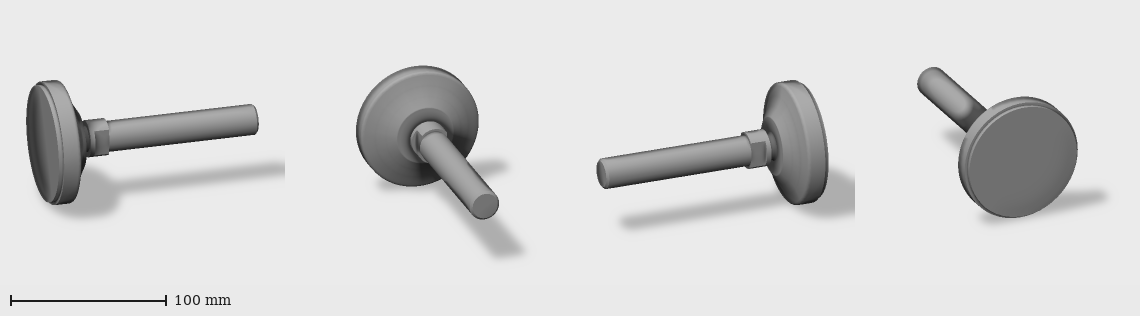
import cadquery as cq


pad_diameter = 76.0
pad_height = 3.0
foot_diameter = 80.0
rim_corner_height = 14.3
rim_rounding = 2.3
flank_mid_radius = 26.4
flank_mid_height = 19.5
foot_top_diameter = 38.5
foot_height = 24.0
foot_top_rounding = 1.0

neck_diameter = 17.0
flare_diameter = 19.0
flare_height = 1.8
flare_mid_radius = 8.75
flare_mid_height = 0.7

collar_diameter = 24.0
collar_bottom = 29.0
flats_bottom = 32.0
collar_top = 42.0
across_flats = 17.0

spindle_diameter = 20.0
spindle_length = 100.0
tip_chamfer = 1.5


def cylinder(diameter, bottom, top):
    """Cylinder on the Y axis between two heights."""
    plane = cq.Workplane("XZ", origin=(0, bottom, 0))
    return plane.circle(diameter / 2).extrude(bottom - top)


def make_foot():
    """Pad, rim and concave flank revolved, with the rim and top edges of the flank rounded."""
    profile = (
        cq.Workplane("XY")
        .lineTo(pad_diameter / 2, 0)
        .lineTo(pad_diameter / 2, pad_height)
        .lineTo(foot_diameter / 2, pad_height)
        .lineTo(foot_diameter / 2, rim_corner_height)
        .threePointArc(
            (flank_mid_radius, flank_mid_height),
            (foot_top_diameter / 2, foot_height),
        )
        .lineTo(0, foot_height)
        .close()
    )
    foot = profile.revolve(360, (0, 0, 0), (0, 1, 0))
    foot = foot.faces(">Y").edges().fillet(foot_top_rounding)
    rim_edge = cq.selectors.NearestToPointSelector((0, rim_corner_height, 0))
    return foot.edges("%CIRCLE").edges(rim_edge).fillet(rim_rounding)


def make_neck():
    """Straight neck with a flared base standing on the foot."""
    flare_top = foot_height + flare_height
    profile = (
        cq.Workplane("XY")
        .moveTo(0, foot_height)
        .lineTo(flare_diameter / 2, foot_height)
        .threePointArc(
            (flare_mid_radius, foot_height + flare_mid_height),
            (neck_diameter / 2, flare_top),
        )
        .lineTo(neck_diameter / 2, collar_bottom)
        .lineTo(0, collar_bottom)
        .close()
    )
    return profile.revolve(360, (0, 0, 0), (0, 1, 0))


def make_collar():
    """Round collar whose upper part is cut to two flats facing -X and +X."""
    flange = cylinder(collar_diameter, collar_bottom, flats_bottom)
    flats_length = collar_top - flats_bottom
    flats_centre = (flats_bottom + collar_top) / 2
    flats_box = (
        cq.Workplane("XY")
        .box(across_flats, flats_length, collar_diameter)
        .translate((0, flats_centre, 0))
    )
    flatted = cylinder(collar_diameter, flats_bottom, collar_top).intersect(flats_box)
    return flange.union(flatted)


def make_spindle():
    """Plain spindle with a chamfered free end."""
    spindle = cylinder(spindle_diameter, collar_top, collar_top + spindle_length)
    return spindle.faces(">Y").chamfer(tip_chamfer)


result = make_foot().union(make_neck()).union(make_collar()).union(make_spindle())